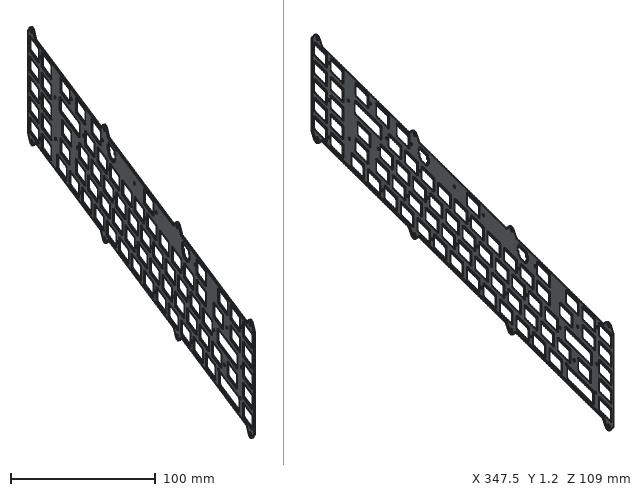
import cadquery as cq
import math

plate_length = 347.5
plate_thickness = 1.2
overall_height = 109.0

keys_per_row = 18.25
key_pitch = plate_length / keys_per_row
row_count = 5
plate_height = row_count * key_pitch
first_column_x = -(plate_length - key_pitch) / 2
top_row_z = (plate_height - key_pitch) / 2

switch_height = 14.0
side_clearance = 0.45
switch_width = switch_height + 2 * side_clearance
wide_cutout_length = 31.0
cutout_corner_radius = 0.87
wide_corner_radius = 1.5

switch_columns = [
    [0, 1, 2.5, 3.75, 5, 9.25, 13.5, 15.25, 16.25, 17.25],
    [0, 1, 4.5, 5.5, 6.5, 7.5, 8.5, 9.5, 10.5, 11.5, 12.5, 13.5, 14.875, 16.25, 17.25],
    [0, 1, 2.625, 4, 5, 6, 7, 8, 9, 10, 11, 12, 13, 14, 17.25],
    [0, 1, 2.5, 3.75, 4.75, 5.75, 6.75, 7.75, 8.75, 9.75, 10.75, 11.75, 12.75, 13.75, 14.75, 16, 17.25],
    [0, 1, 2.25, 3.25, 4.25, 5.25, 6.25, 7.25, 8.25, 9.25, 10.25, 11.25, 12.25, 13.25, 14.25, 17.25],
]
wide_cutouts = [(2.875, 1), (15.625, 2), (15.75, 4)]

pin_diameter = 1.9
pin_columns = [
    [0.5, 3, 5.5, 8.1, 9.86, 13, 16.75],
    [1.68, 4, 6, 9, 12, 15.57],
    [0.5, 3.5, 6.5, 9.5, 12.5, 14.5, 16.75],
    [1.74, 5.25, 8.25, 11.25, 15.36],
    [0.5, 3.75, 6.75, 9.75, 12.75],
]
raised_pins = [(14.9, 3.62), (16.63, 3.62)]

stabilizer_key_column = 9.25
stabilizer_spacing = 114.5
stabilizer_width = 9.7
stabilizer_top = 5.5
stabilizer_bottom = -7.0
stabilizer_ear_width = 11.8
stabilizer_ear_top = 2.5
stabilizer_ear_bottom = -1.7
stabilizer_foot_width = 5.5
stabilizer_foot_top = -4.5

tab_spacing = 112.12
tab_count = 4
tab_base_half_width = (plate_length - (tab_count - 1) * tab_spacing) / 2
tab_tip_radius = 2.95
shoulder_radius = 7.0
tab_hole_diameter = 2.8
tab_hole_drop = 3.0
tab_hole_z = overall_height / 2 - tab_hole_drop


def grid_point(column, row):
    """Centre of a key position, counted in pitches from the top left key."""
    return first_column_x + column * key_pitch, top_row_z - row * key_pitch


def extrude(sketch):
    """Solid as thick as the plate, centred on the XZ plane."""
    return sketch.extrude(plate_thickness / 2, both=True)


def xz_plane():
    return cq.Workplane("XZ")


def cutouts(points, length, corner_radius):
    """Rectangular openings with rounded corners."""
    block = extrude(xz_plane().pushPoints(points).rect(length, switch_height))
    return block.edges("|Y").fillet(corner_radius)


def tab(x, side):
    """Tab with a rounded tip; side is +1 on the top edge and -1 on the bottom edge."""
    base_z = plate_height / 2
    tip_z = overall_height / 2 - tab_tip_radius
    rise = tip_z - base_z
    reach = math.hypot(tab_base_half_width, rise)
    flank_angle = math.acos(tab_tip_radius / reach) - math.atan2(rise, tab_base_half_width)
    touch_x = tab_tip_radius * math.cos(flank_angle)
    touch_z = tip_z + tab_tip_radius * math.sin(flank_angle)
    outline = (
        xz_plane()
        .moveTo(x - tab_base_half_width, 0)
        .lineTo(x - tab_base_half_width, side * base_z)
        .lineTo(x - touch_x, side * touch_z)
        .threePointArc((x, side * overall_height / 2), (x + touch_x, side * touch_z))
        .lineTo(x + tab_base_half_width, side * base_z)
        .lineTo(x + tab_base_half_width, 0)
        .close()
    )
    return extrude(outline)


def stabilizer_opening(x, z):
    """Upright opening with side ears and a tapered foot."""
    outline = [
        (stabilizer_width / 2, stabilizer_top),
        (stabilizer_width / 2, stabilizer_ear_top),
        (stabilizer_ear_width / 2, stabilizer_ear_top),
        (stabilizer_ear_width / 2, stabilizer_ear_bottom),
        (stabilizer_width / 2, stabilizer_ear_bottom),
        (stabilizer_width / 2, stabilizer_foot_top),
        (stabilizer_foot_width / 2, stabilizer_bottom),
    ]
    right_side = [(x + dx, z + dz) for dx, dz in outline]
    left_side = [(x - dx, z + dz) for dx, dz in reversed(outline)]
    return extrude(xz_plane().polyline(right_side + left_side).close())


result = extrude(xz_plane().rect(plate_length, plate_height))
tab_xs = [(i - (tab_count - 1) / 2) * tab_spacing for i in range(tab_count)]
for side in (1, -1):
    for x in tab_xs:
        result = result.union(tab(x, side))

result = result.edges("|Y").edges(">X or <X").fillet(shoulder_radius)

tab_holes = [(x, side * tab_hole_z) for x in tab_xs for side in (1, -1)]
result = result.cut(extrude(xz_plane().pushPoints(tab_holes).circle(tab_hole_diameter / 2)))

switch_points = [grid_point(c, row) for row, columns in enumerate(switch_columns) for c in columns]
result = result.cut(cutouts(switch_points, switch_width, cutout_corner_radius))
wide_points = [grid_point(c, row) for c, row in wide_cutouts]
result = result.cut(cutouts(wide_points, wide_cutout_length, wide_corner_radius))

stabilizer_x, stabilizer_z = grid_point(stabilizer_key_column, 0)
for side in (1, -1):
    result = result.cut(stabilizer_opening(stabilizer_x + side * stabilizer_spacing / 2, stabilizer_z))

pin_points = [grid_point(c, row) for row, columns in enumerate(pin_columns) for c in columns]
pin_points += [grid_point(c, row) for c, row in raised_pins]
result = result.cut(extrude(xz_plane().pushPoints(pin_points).circle(pin_diameter / 2)))